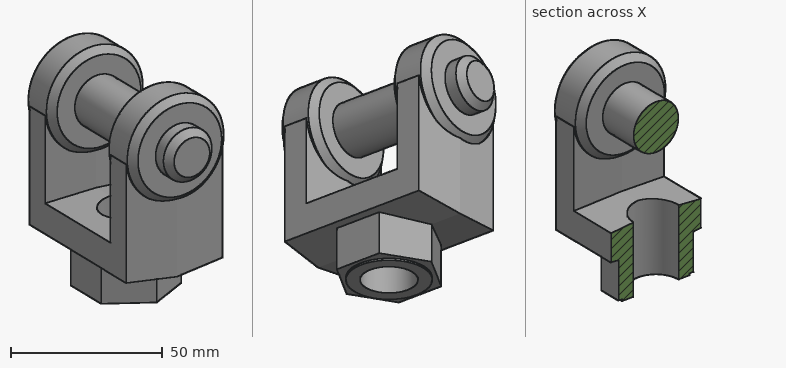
import cadquery as cq
import math

total_height = 79.5
depth = 38.1

pin_length = 78.7
pin_diameter = 19.1
boss_diameter = depth
boss_inner_x = 16.1
boss_outer_x = 32.1
edge_chamfer = 2.55
pin_z = total_height - boss_diameter / 2

outer_half_width = 30.5
inner_half_width = 17.8
floor_z = 28.85
underside_z = 14.5
arm_top_z = 58.7
wall_taper = 1.7

hex_across_flats = 31.65
hex_across_corners = hex_across_flats / math.cos(math.pi / 6)
foot_height = 0.7
foot_diameter = 28.5
bore_diameter = 19.1


def chamfered_cylinder(diameter, start_x, end_x):
    """Cylinder along X on the pin axis, chamfered at both ends."""
    return (
        cq.Workplane("YZ", origin=(start_x, 0, pin_z))
        .circle(diameter / 2)
        .extrude(end_x - start_x)
        .faces("<X or >X")
        .chamfer(edge_chamfer)
    )


def wedge_block(half_width_middle, half_width_edge, low_middle, low_edge, top):
    """Block whose side and bottom faces slope from Y = 0 to the front and back."""

    def half(y_edge):
        middle = cq.Wire.makePolygon(rectangle(half_width_middle, low_middle, top, 0), close=True)
        edge = cq.Wire.makePolygon(rectangle(half_width_edge, low_edge, top, y_edge), close=True)
        return cq.Workplane(obj=cq.Solid.makeLoft([middle, edge], True))

    return half(-depth / 2).union(half(depth / 2))


def rectangle(half_width, low, top, y):
    """Corners of an upright rectangle centred on X = 0."""
    return [
        cq.Vector(-half_width, y, low),
        cq.Vector(half_width, y, low),
        cq.Vector(half_width, y, top),
        cq.Vector(-half_width, y, top),
    ]


outer_block = wedge_block(
    outer_half_width,
    outer_half_width - wall_taper,
    underside_z,
    underside_z + wall_taper,
    arm_top_z,
)
gap = wedge_block(
    inner_half_width,
    inner_half_width + wall_taper,
    floor_z,
    floor_z - wall_taper,
    total_height,
)
yoke = outer_block.cut(gap)

hex_top_z = underside_z + wall_taper
nut = (
    cq.Workplane("XY", origin=(0, 0, foot_height))
    .polygon(6, hex_across_corners)
    .extrude(hex_top_z - foot_height)
)
foot = cq.Workplane("XY").circle(foot_diameter / 2).extrude(foot_height)
bore = cq.Workplane("XY").circle(bore_diameter / 2).extrude(floor_z)

body = yoke.union(nut).union(foot).cut(bore)

for start_x, end_x in ((-boss_outer_x, -boss_inner_x), (boss_inner_x, boss_outer_x)):
    body = body.union(chamfered_cylinder(boss_diameter, start_x, end_x))

result = body.union(chamfered_cylinder(pin_diameter, -pin_length / 2, pin_length / 2))